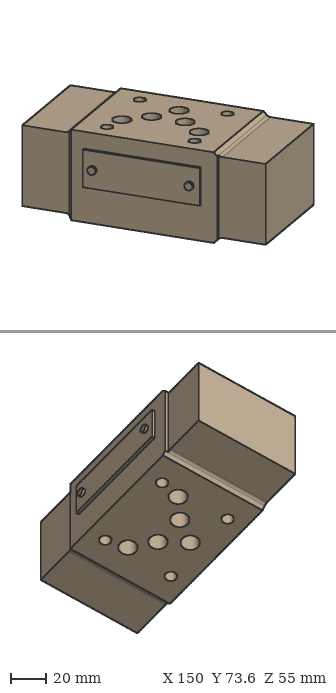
import cadquery as cq
import math

total_length = 150.0
body_depth = 70.0
body_height = 55.0

top_half_length = 44.0
bevel = 2.1
fillet_radius = 3.0
bevel_angle = math.radians(45)
fillet_run = fillet_radius * math.sin(bevel_angle)
fillet_drop = fillet_radius * (1 - math.cos(bevel_angle))
body_half_length = top_half_length + bevel
fillet_half_length = body_half_length + fillet_run

half_height = body_height / 2
bevel_half_height = half_height - bevel
cap_half_height = bevel_half_height - fillet_drop
cap_depth = body_depth - bevel
front_y = -body_depth / 2
back_y = body_depth / 2

plate_length = 72.0
plate_height = 22.8
plate_thickness = 1.8
plate_center_z = 5.8
pin_diameter = 5.0
pin_spacing = 59.8
pin_length = 1.8

bolt_diameter = 7.0
bolt_spacing_x = 54.0
bolt_spacing_y = 46.0
port_diameter = 11.0
pressure_port_y = 16.6
work_port_x = 10.4
work_port_y = 1.6
tank_port_x = 23.8
tank_port_y = -9.5


def make_body():
    """Tall middle block, bevelled at its four long end edges and its left front edge."""
    return (
        cq.Workplane("XY")
        .box(2 * body_half_length, body_depth, body_height)
        .edges("|Y or (|Z and <X and <Y)")
        .chamfer(bevel)
    )


def make_caps():
    """Lower bar that forms both end caps, with a concave fillet rising to each body bevel."""
    cap_half_length = total_length / 2
    profile = (
        cq.Workplane("XZ", origin=(0, back_y, 0))
        .moveTo(-cap_half_length, cap_half_height)
        .lineTo(-fillet_half_length, cap_half_height)
        .radiusArc((-body_half_length, bevel_half_height), -fillet_radius)
        .lineTo(body_half_length, bevel_half_height)
        .radiusArc((fillet_half_length, cap_half_height), -fillet_radius)
        .lineTo(cap_half_length, cap_half_height)
        .lineTo(cap_half_length, -cap_half_height)
        .lineTo(fillet_half_length, -cap_half_height)
        .radiusArc((body_half_length, -bevel_half_height), -fillet_radius)
        .lineTo(-body_half_length, -bevel_half_height)
        .radiusArc((-fillet_half_length, -cap_half_height), -fillet_radius)
        .lineTo(-cap_half_length, -cap_half_height)
        .close()
    )
    return profile.extrude(cap_depth)


def make_name_plate():
    """Thin plate with two round pins, standing out toward -Y."""
    face = cq.Workplane("XZ", origin=(0, front_y, plate_center_z))
    plate = face.rect(plate_length, plate_height).extrude(plate_thickness)
    pins = (
        face.pushPoints([(-pin_spacing / 2, 0), (pin_spacing / 2, 0)])
        .circle(pin_diameter / 2)
        .extrude(plate_thickness + pin_length)
    )
    return plate.union(pins)


def make_holes():
    """Four bolt holes on a rectangle and five ports in an inverted V."""
    bottom = cq.Workplane("XY", origin=(0, 0, -half_height))
    bolts = (
        bottom.rect(bolt_spacing_x, bolt_spacing_y, forConstruction=True)
        .vertices()
        .circle(bolt_diameter / 2)
        .extrude(body_height)
    )
    port_centers = [
        (0, pressure_port_y),
        (-work_port_x, work_port_y),
        (work_port_x, work_port_y),
        (-tank_port_x, tank_port_y),
        (tank_port_x, tank_port_y),
    ]
    ports = bottom.pushPoints(port_centers).circle(port_diameter / 2).extrude(body_height)
    return bolts.union(ports)


result = make_body().union(make_caps()).union(make_name_plate()).cut(make_holes())